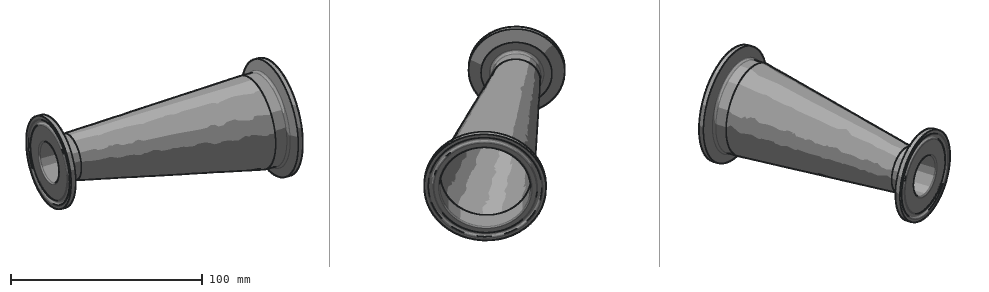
import cadquery as cq
import math

total_length = 127.0
ferrule_length = 12.7
wall = 1.7

small_tube_radius = 12.7
large_tube_radius = 25.4
small_flange_radius = 50.4 / 2
large_flange_radius = 63.9 / 2

axis_offset = large_tube_radius - small_tube_radius

rim_thickness = 2.8
flange_height = 5.2
back_angle = 20.0
neck_fillet = 1.5
mouth_fillet = 0.8
groove_inset = 3.4
groove_half_width = 1.3
groove_depth = 1.1
groove_edge_fillet = 0.5


def circle_edges(body, radius, height):
    """Select the full or partial circles of a given radius at one height."""
    tolerance = 0.01
    return body.edges("%CIRCLE").filter(
        lambda edge: abs(edge.radius() - radius) < tolerance
        and abs(edge.Center().y - height) < tolerance
    )


def ferrule_blank(tube_radius, flange_radius):
    """Bored tube with a flange, sealing face at Y = 0, tube toward +Y."""
    back_slope = math.tan(math.radians(back_angle))
    full_slope_height = rim_thickness + (flange_radius - tube_radius) * back_slope
    shoulder_height = min(flange_height, full_slope_height)
    shoulder_radius = flange_radius - (shoulder_height - rim_thickness) / back_slope
    bore_radius = tube_radius - wall

    profile = (
        cq.Workplane("XY")
        .moveTo(bore_radius, 0)
        .lineTo(flange_radius, 0)
        .lineTo(flange_radius, rim_thickness)
        .lineTo(shoulder_radius, shoulder_height)
    )
    if shoulder_height < full_slope_height:
        profile = profile.lineTo(tube_radius, shoulder_height)
    blank = (
        profile.lineTo(tube_radius, ferrule_length)
        .lineTo(bore_radius, ferrule_length)
        .close()
        .revolve(360, (0, 0, 0), (0, 1, 0))
    )
    blank = circle_edges(blank, tube_radius, shoulder_height).fillet(neck_fillet)
    return circle_edges(blank, bore_radius, 0).fillet(mouth_fillet)


def gasket_groove(centre_radius):
    """Ring with an arc-shaped section, sunk into the sealing face."""
    return (
        cq.Workplane("XY")
        .moveTo(centre_radius - groove_half_width, 0)
        .threePointArc((centre_radius, groove_depth), (centre_radius + groove_half_width, 0))
        .close()
        .revolve(360, (0, 0, 0), (0, 1, 0))
    )


def make_ferrule(tube_radius, flange_radius):
    groove_radius = flange_radius - groove_inset
    ferrule = ferrule_blank(tube_radius, flange_radius).cut(gasket_groove(groove_radius))
    for edge_radius in (groove_radius - groove_half_width, groove_radius + groove_half_width):
        ferrule = circle_edges(ferrule, edge_radius, 0).fillet(groove_edge_fillet)
    return ferrule


def oblique_cone(small_radius, large_radius):
    """Solid cone between the inner ends of the two ferrules."""
    along_y = cq.Vector(0, 1, 0)
    small_centre = cq.Vector(0, ferrule_length, 0)
    large_centre = cq.Vector(axis_offset, total_length - ferrule_length, 0)
    small_end = cq.Wire.makeCircle(small_radius, small_centre, along_y)
    large_end = cq.Wire.makeCircle(large_radius, large_centre, along_y)
    return cq.Workplane(cq.Solid.makeLoft([small_end, large_end], True))


def make_reducer_cone():
    outside = oblique_cone(small_tube_radius, large_tube_radius)
    inside = oblique_cone(small_tube_radius - wall, large_tube_radius - wall)
    return outside.cut(inside)


small_ferrule = make_ferrule(small_tube_radius, small_flange_radius)

large_ferrule = (
    make_ferrule(large_tube_radius, large_flange_radius)
    .rotate((0, 0, 0), (0, 0, 1), 180)
    .translate((axis_offset, total_length, 0))
)

reducer_cone = make_reducer_cone()

result = cq.Compound.makeCompound([small_ferrule.val(), reducer_cone.val(), large_ferrule.val()])